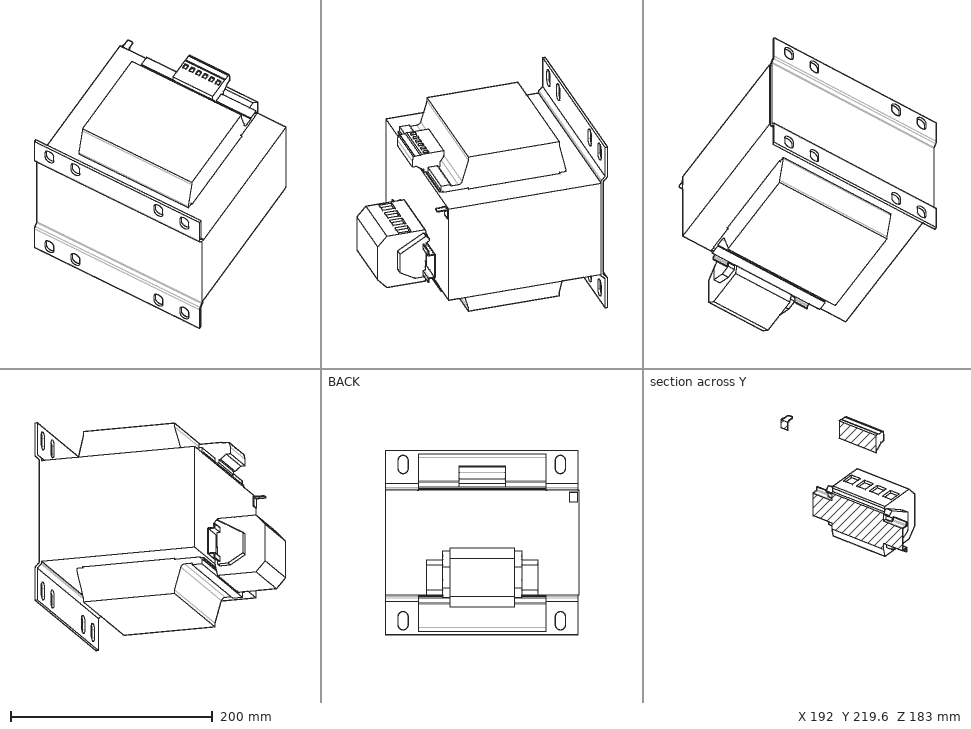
import cadquery as cq
import math


core_width = 192.0
core_depth = 160.0
core_height = 104.0
leg_width = 32.0
core_front = 7.2
core_back = core_front + core_depth
core_top = core_height / 2
window_half_width = core_width / 2 - leg_width
window_front = core_front + leg_width
window_back = core_back - leg_width

sheet = 2.7
bracket_width = 191.0
bracket_height = 183.0
bracket_right = core_width / 2
flange_bend_z = 57.5
foot_bend_radius = 3.9
web_inner_radius = 1.4
web_outer_radius = 2.0
bend_angle = 45.0
slot_width = 9.8
slot_length = 18.0
slot_inner_x = 48.0
slot_outer_x = 78.0
slot_z = 77.5

cover_width = 126.5
cover_top = 88.0
cover_gap = 0.7
cover_base = core_top + cover_gap
cover_shoulder = 84.2
cover_front = 33.0
cover_front_top = window_front + cover_gap
cover_wall_run = 7.5
ledge_top = 58.4
ledge_radius = 4.2
rib_front = 153.7
rib_back = 163.9
rib_top = 60.0
lip_back = 165.6
lip_top = 55.0
lip_base = 53.5
lip_front = 161.8

strip_width = 46.0
strip_front = 147.2
strip_back = 180.2
strip_top = 75.9
rear_edge_top = 179.1
rear_step_front = 177.5
rear_step_drop = 0.4
strip_low_top = 75.2
ramp_back = 171.8
ramp_front = 170.3
strip_rear_top = 69.8
strip_rear_bottom = 63.2
strip_belly_back = 175.8
hook_back = 169.8
hook_tip = 168.0
hook_top = ledge_top
strip_neck = 151.0
neck_top = 63.8
entry_count = 6
entry_pitch = 7.53
entry_width = 3.9
entry_length = 5.1
entry_y = 164.6
entry_depth = 2.0

rail_length = 110.6
rail_height = 35.0
rail_web_height = 27.0
rail_depth = 7.5
rail_sheet = 1.0
rail_bend_radius = 0.9
rail_z = -34.5
block_count = 4
block_width = 16.0
block_back = 219.6
block_front = 169.8
block_top = -5.3
block_bottom = -64.0
block_chamfer_y = 9.6
block_chamfer_z = 10.5
screw_window_width = 10.8
screw_window_length = 13.2
screw_window_y = 190.4
screw_window_depth = 3.0
foot_bottom = -53.3
foot_top = -12.5
block_notch_y = 169.0
block_notch_bottom = -11.4
block_notch_top = -7.4
end_clamp_width = 7.2
clamp_back = 198.7
clamp_back_top = -24.0
clamp_back_bottom = -45.2
clamp_top = -8.5
clamp_top_y = 171.5
clamp_bottom = -54.4
clamp_bottom_back = 183.1
clamp_lower_front = 172.0
clamp_upper_front = 171.4
clamp_step_z = -37.0
clamp_hook_bottom = -16.7
clamp_hook_y = core_back + 0.5
clamp_hook_top = foot_top
clamp_hook_height = 1.5

tab_x = -90.6
tab_top = 50.4
tab_sheet = 0.9
tab_base_width = 8.2
tab_base_back = 170.3
tab_foot_bottom = 40.4
blade_width = 6.3
blade_back = 178.4
blade_tip_chamfer = 1.0

position_tolerance = 0.01


def box(x_min, x_max, y_min, y_max, z_min, z_max):
    size = (x_max - x_min, y_max - y_min, z_max - z_min)
    return cq.Workplane("XY").box(*size, centered=False).translate((x_min, y_min, z_min))


def centred_prism(outline, width, x_middle=0.0):
    """Extrude a closed (Y, Z) sketch outline evenly about x_middle."""
    return outline.extrude(width / 2, both=True).translate((x_middle, 0, 0))


def side_polygon(points):
    return cq.Workplane("YZ").polyline(points).close()


def fillet_along_x(solid, places, radius):
    """Round the edges along X at the given (Y, Z) places and at their mirror images below."""
    def is_listed(edge):
        centre = edge.Center()
        return any(math.hypot(centre.y - y, abs(centre.z) - z) < position_tolerance for y, z in places)

    return solid.edges("|X").filter(is_listed).fillet(radius)


def make_core():
    core = box(-core_width / 2, core_width / 2, core_front, core_back, -core_top, core_top)
    inner = cover_width / 2
    for x_min, x_max in ((-window_half_width, -inner), (inner, window_half_width)):
        core = core.cut(box(x_min, x_max, window_front, window_back, -core_top, core_top))
    return core


def make_bracket():
    """Sheet behind the core with a foot joggled forward at each end."""
    web_front = core_front - sheet
    web_bend_z = flange_bend_z - web_front / math.tan(math.radians(bend_angle))
    bend_shift = sheet * math.tan(math.radians(bend_angle / 2))
    front = [(web_front, web_bend_z), (0, flange_bend_z), (0, bracket_height / 2)]
    back = [
        (sheet, bracket_height / 2),
        (sheet, flange_bend_z + bend_shift),
        (core_front, web_bend_z + bend_shift),
    ]
    upper = front + back
    lower = [(y, -z) for y, z in reversed(upper)]
    middle_x = bracket_right - bracket_width / 2
    bracket = centred_prism(side_polygon(upper + lower), bracket_width, middle_x)
    bracket = fillet_along_x(bracket, [front[1]], foot_bend_radius)
    bracket = fillet_along_x(bracket, [front[0]], web_inner_radius)
    bracket = fillet_along_x(bracket, [back[2]], web_outer_radius)

    slot_places = [
        (middle_x + side * x, end * slot_z)
        for side in (-1, 1)
        for end in (-1, 1)
        for x in (slot_inner_x, slot_outer_x)
    ]
    slots = (
        cq.Workplane("XZ")
        .pushPoints(slot_places)
        .slot2D(slot_length, slot_width, 90)
        .extrude(-sheet)
    )
    return bracket.cut(slots)


def make_upper_cover():
    wall_foot = window_back + cover_wall_run
    slope_angle = math.atan2(cover_shoulder - ledge_top, cover_wall_run)
    tangent = ledge_radius * math.tan(slope_angle / 2)
    arc_centre = (wall_foot + tangent, ledge_top + ledge_radius)
    arc_start = (wall_foot + tangent, ledge_top)
    arc_end = (
        wall_foot - tangent * math.cos(slope_angle),
        ledge_top + tangent * math.sin(slope_angle),
    )
    middle_angle = -math.pi / 2 - slope_angle / 2
    arc_middle = (
        arc_centre[0] + ledge_radius * math.cos(middle_angle),
        arc_centre[1] + ledge_radius * math.sin(middle_angle),
    )
    outline = (
        cq.Workplane("YZ")
        .moveTo(cover_front, cover_base)
        .lineTo(cover_front, lip_top)
        .lineTo(cover_front_top, cover_shoulder)
        .lineTo(cover_front_top, cover_top)
        .lineTo(window_back, cover_top)
        .lineTo(window_back, cover_shoulder)
        .lineTo(*arc_end)
        .threePointArc(arc_middle, arc_start)
        .lineTo(rib_front, ledge_top)
        .lineTo(rib_front, rib_top)
        .lineTo(rib_back, rib_top)
        .lineTo(rib_back, lip_top)
        .lineTo(lip_back, lip_top)
        .lineTo(lip_back, lip_base)
        .lineTo(lip_front, lip_base)
        .lineTo(lip_front, cover_base)
        .close()
    )
    return centred_prism(outline, cover_width)


def make_winding():
    """Upper cover, its mirror image below, and the winding that joins them."""
    upper = make_upper_cover()
    half_width = cover_width / 2
    coil = box(-half_width, half_width, window_front, window_back, -cover_base, cover_base)
    return coil.union(upper).union(upper.mirror("XY"))


def make_terminal_strip():
    outline = side_polygon([
        (strip_front, strip_top),
        (ramp_front, strip_top),
        (ramp_back, strip_low_top),
        (rear_step_front, strip_low_top),
        (rear_step_front, strip_low_top - rear_step_drop),
        (rear_edge_top, strip_low_top - rear_step_drop),
        (strip_back, strip_rear_top),
        (strip_back, strip_rear_bottom),
        (strip_belly_back, strip_rear_bottom),
        (hook_back, hook_top),
        (hook_tip, hook_top),
        (hook_tip, lip_top),
        (rib_back, lip_top),
        (rib_back, rib_top),
        (rib_front, rib_top),
        (rib_front, ledge_top),
        (strip_neck, ledge_top),
        (strip_neck, neck_top),
        (strip_front, strip_rear_top),
    ])
    strip = centred_prism(outline, strip_width)
    first_x = -entry_pitch * (entry_count - 1) / 2
    for index in range(entry_count):
        x = first_x + index * entry_pitch
        strip = strip.cut(box(
            x - entry_width / 2, x + entry_width / 2,
            entry_y - entry_length / 2, entry_y + entry_length / 2,
            strip_top - entry_depth, strip_top,
        ))
    return strip


def make_rail():
    """Hat rail lying against the core with its lips turned outward."""
    half_height = rail_height / 2
    half_web = rail_web_height / 2
    rail_back = core_back + rail_depth
    half_outline = [
        (core_back, half_web),
        (rail_back - rail_sheet, half_web),
        (rail_back - rail_sheet, half_height),
        (rail_back, half_height),
        (rail_back, half_web - rail_sheet),
        (core_back + rail_sheet, half_web - rail_sheet),
    ]
    other_half = [(y, -z) for y, z in reversed(half_outline)]
    rail = centred_prism(side_polygon(half_outline + other_half), rail_length)
    rail = fillet_along_x(rail, [(core_back, half_web), (rail_back - rail_sheet, half_web)], rail_bend_radius)
    return rail.translate((0, 0, rail_z))


def make_screw_terminals():
    row_width = block_count * block_width
    outline = side_polygon([
        (block_front, block_top),
        (block_back - block_chamfer_y, block_top),
        (block_back, block_top - block_chamfer_z),
        (block_back, block_bottom + block_chamfer_z),
        (block_back - block_chamfer_y, block_bottom),
        (block_front, block_bottom),
        (core_back, foot_bottom),
        (core_back, foot_top),
        (block_notch_y, block_notch_bottom),
        (block_notch_y, block_notch_top),
    ])
    terminals = centred_prism(outline, row_width)
    for index in range(block_count):
        x = (index + 0.5) * block_width - row_width / 2
        terminals = terminals.cut(box(
            x - screw_window_width / 2, x + screw_window_width / 2,
            screw_window_y - screw_window_length / 2, screw_window_y + screw_window_length / 2,
            block_top - screw_window_depth, block_top,
        ))
    return terminals


def make_end_clamps():
    """Clamps gripping the rail at both ends of the screw terminals."""
    outline = side_polygon([
        (clamp_top_y, clamp_top),
        (clamp_back, clamp_back_top),
        (clamp_back, clamp_back_bottom),
        (clamp_bottom_back, clamp_bottom),
        (clamp_lower_front, clamp_bottom),
        (clamp_lower_front, clamp_step_z),
        (clamp_upper_front, clamp_step_z),
        (clamp_upper_front, clamp_hook_bottom),
        (clamp_hook_y, clamp_hook_top - clamp_hook_height),
        (clamp_hook_y, clamp_hook_top),
    ])
    clamp_x = (block_count * block_width + end_clamp_width) / 2
    clamp = centred_prism(outline, end_clamp_width, clamp_x)
    return clamp.union(clamp.mirror("YZ"))


def make_earth_tab():
    tab_bottom = tab_top - tab_sheet
    base_left = tab_x - tab_base_width / 2
    base_right = tab_x + tab_base_width / 2
    foot = box(base_left, base_right, core_back, core_back + tab_sheet, tab_foot_bottom, tab_top)
    base = box(base_left, base_right, core_back, tab_base_back, tab_bottom, tab_top)
    blade = box(
        tab_x - blade_width / 2, tab_x + blade_width / 2,
        core_back, blade_back, tab_bottom, tab_top,
    )
    blade = blade.edges("|Z and >Y").chamfer(blade_tip_chamfer)
    return foot.union(base).union(blade)


result = (
    make_core()
    .union(make_bracket())
    .union(make_winding())
    .union(make_terminal_strip())
    .union(make_rail())
    .union(make_screw_terminals())
    .union(make_end_clamps())
    .union(make_earth_tab())
)